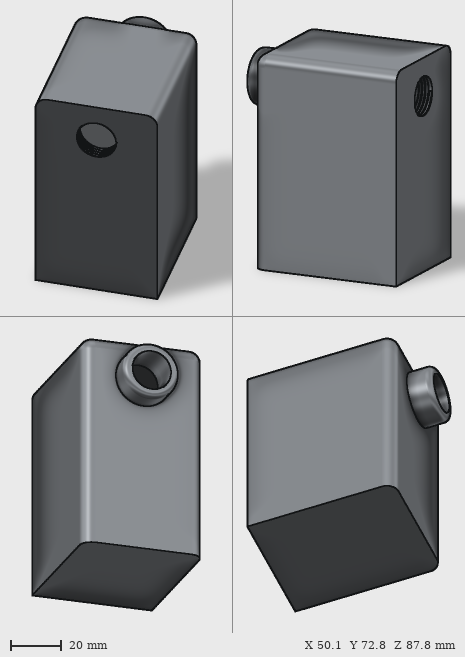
import cadquery as cq
import math

width = 50.15
depth = 62.7
height = 87.8
edge_radius = 5.0

bore_diameter = 16.2
bore_z = height - 15.7

boss_diameter = 23.2
boss_length = 10.1
boss_edge_radius = 2.4

wall = 6.2
floor_drop = 14.3
chamber_width = width - 2 * wall
chamber_depth = depth - 2 * wall
chamber_floor = bore_z - floor_drop
chamber_height = height - wall - chamber_floor

thread_pitch = 1.5
thread_depth = 0.8
thread_angle = 76.0
thread_start = 0.7
groove_inset = 0.1


def cylinder_along_y(diameter, y_start, y_end):
    """Cylinder on the bore axis between two Y positions."""
    return (
        cq.Workplane("XZ", origin=(0, y_start, bore_z))
        .circle(diameter / 2)
        .extrude(y_start - y_end)
    )


def make_block():
    """Block with rounded top, side and back edges; front and bottom edges stay sharp."""
    return (
        cq.Workplane("XY")
        .box(width, depth, height, centered=(True, False, False))
        .edges("(|Y and >Z) or (|Z and >Y) or (|X and >Y and >Z)")
        .fillet(edge_radius)
    )


def make_boss():
    """Round boss with a rounded outer rim, starting inside the back wall."""
    boss = cylinder_along_y(boss_diameter, depth - wall, depth + boss_length)
    return boss.faces(">Y").edges().fillet(boss_edge_radius)


def make_chamber():
    """Box-shaped cavity enclosed on all sides."""
    return (
        cq.Workplane("XY", origin=(0, wall, chamber_floor))
        .box(chamber_width, chamber_depth, chamber_height, centered=(True, False, False))
    )


def make_thread_groove():
    """V-shaped helical groove that starts just inside the front face and ends in the chamber."""
    inner_radius = bore_diameter / 2 - groove_inset
    tip_radius = bore_diameter / 2 + thread_depth
    half_mouth = (tip_radius - inner_radius) * math.tan(math.radians(thread_angle / 2))
    thread_length = wall - thread_start + thread_pitch
    helix = cq.Wire.makeHelix(thread_pitch, thread_length, inner_radius)
    groove = (
        cq.Workplane("XZ")
        .moveTo(inner_radius, -half_mouth)
        .lineTo(tip_radius, 0)
        .lineTo(inner_radius, half_mouth)
        .close()
        .sweep(cq.Workplane(helix), isFrenet=True)
    )
    along_y = groove.rotate((0, 0, 0), (1, 0, 0), -90)
    return along_y.translate((0, thread_start, bore_z))


result = make_block().union(make_boss())
result = result.cut(make_chamber())
result = result.cut(make_thread_groove())
result = result.cut(cylinder_along_y(bore_diameter, 0, depth + boss_length))